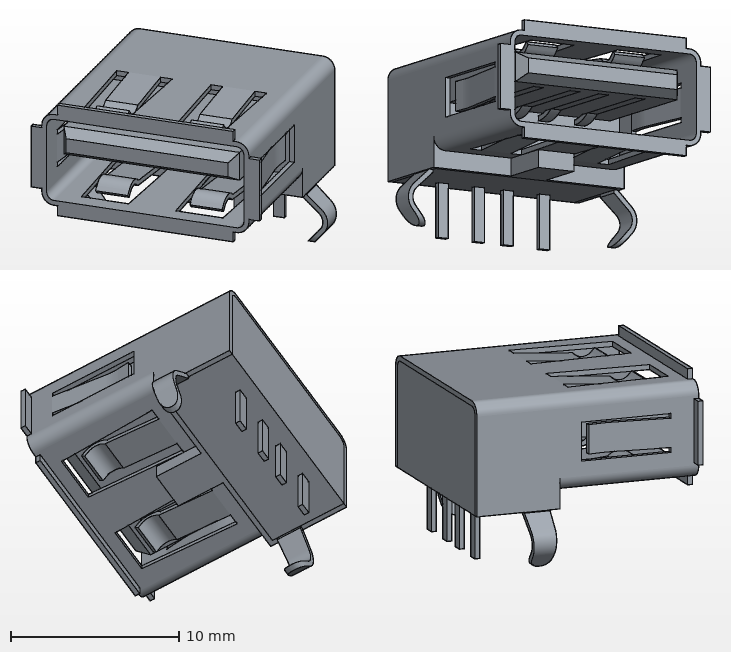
import cadquery as cq
import math


sheet = 0.32
shell_width = 13.18
shell_depth = 14.15
tube_height = 5.85
tube_centre_z = 4.0
tube_length = 8.85
corner_radius = 0.79
inner_radius = corner_radius - sheet
shell_top = tube_centre_z + tube_height / 2
tube_bottom = tube_centre_z - tube_height / 2
inner_top = shell_top - sheet
inner_width = shell_width - 2 * sheet
inner_height = tube_height - 2 * sheet
hood_front_inside = tube_length + sheet
key_width = 2.46
key_front = 5.72

mouth_tab_width = 11.19
mouth_tab_span = 7.11
side_tab_span = 14.54
side_tab_height = 3.92

finger_x = 3.0
finger_width = 2.05
finger_root = 7.63
finger_slope = 5.0
finger_slope_run = 3.75
finger_step_slope = 38.0
finger_step_length = 0.2
finger_curl_radius = 0.77
finger_tip_slope = 47.0
finger_tip_length = 0.33
finger_window_front = 1.14
finger_window_front_width = 3.0
finger_window_rear_width = 3.54

side_window_front = 1.79
side_window_rear = 7.47
side_window_height = 2.39
side_finger_height = 1.8
side_finger_slope = 6.4
side_finger_slope_run = 3.54
side_finger_bend_radius = 4.11
side_finger_tip_slope = 5.0
side_finger_tip_length = 0.75

tongue_width = mouth_tab_width
tongue_bottom = 4.0
tongue_height = 1.79
tongue_tip = 0.32
tongue_bevel = 0.45
tongue_bevel_depth = 0.76

outer_contact_x = 3.5
inner_contact_x = 1.0
contact_width = 0.7
pin_rear = 13.21
pin_length = 3.3
contact_front = 1.9
contact_drop = 0.49
contact_bend_radius = 2.4
contact_ramp_slope = 33.0
elbow_radius = 0.47

leg_y = 10.3
leg_top_width = 1.65
leg_tip_width = 1.26
leg_tip_radius = 0.6
leg_drop = pin_length
leg_neck = 0.05
leg_spread = 47.5
leg_spread_length = 1.3
leg_curl_radius = 1.09
leg_return = 41.2
leg_return_length = 1.58


def offset_left(point, heading, distance):
    """The point at a distance to the left of a point, facing along the heading in degrees."""
    angle = math.radians(heading)
    x, y = point
    return (x - distance * math.sin(angle), y + distance * math.cos(angle))


def bent_strip(start, heading, moves, width, plane):
    """Bend a strip of sheet metal, centred on the plane, and return it as a solid.

    The path follows one face of the strip, from `start` at `heading` degrees. The metal lies on
    its left. A move is (length,) for a straight, or (radius, turn) for a bend of the followed
    face; a positive turn goes left. A zero radius gives a sharp mitred bend between straights.
    Each face is kept as a list of steps: (end,) for a line or (middle, end) for an arc.
    """
    point = start
    near = [(point,)]
    far = [(offset_left(point, heading, sheet),)]
    for move in moves:
        if len(move) == 1:
            point = offset_left(point, heading - 90, move[0])
            near.append((point,))
            far.append((offset_left(point, heading, sheet),))
            continue
        radius, turn = move
        middle = heading + turn / 2
        if radius == 0:
            mitre = sheet / math.cos(math.radians(turn / 2))
            far[-1] = (offset_left(point, middle, mitre),)
            heading += turn
            continue
        reach = math.copysign(radius, turn)
        centre = offset_left(point, heading, reach)
        heading += turn
        near.append(tuple(offset_left(centre, angle, -reach) for angle in (middle, heading)))
        far.append(tuple(offset_left(centre, angle, sheet - reach) for angle in (middle, heading)))
        point = near[-1][-1]

    outline = cq.Workplane(plane).moveTo(*start)
    for step in near[1:]:
        outline = add_step(outline, step)
    outline = outline.lineTo(*far[-1][-1])
    for step, previous in zip(far[:0:-1], far[-2::-1]):
        outline = add_step(outline, (*step[:-1], previous[-1]))
    return outline.close().extrude(width / 2, both=True)


def add_step(outline, step):
    if len(step) == 1:
        return outline.lineTo(*step[0])
    return outline.threePointArc(*step)


def block(x_size, y_range, z_range):
    """A box centred on X = 0."""
    y0, y1 = y_range
    z0, z1 = z_range
    box = cq.Workplane("XY").box(x_size, y1 - y0, z1 - z0, centered=(True, False, False))
    return box.translate((0, y0, z0))


def tube_block(width, height, radius, y0, y1):
    """A bar along Y with the rounded section of the tube."""
    z0 = tube_centre_z - height / 2
    return block(width, (y0, y1), (z0, z0 + height)).edges("|Y").fillet(radius)


def hood_block(width, top, radius, y0, y1):
    """A bar along Y with the section of the hood, rounded only at the top."""
    return block(width, (y0, y1), (0, top)).edges("|Y and >Z").fillet(radius)


def mirror_x(body):
    return body.mirror("YZ")


def make_finger():
    """The spring finger of the top wall at +X, in place."""
    slope_length = finger_slope_run / math.cos(math.radians(finger_slope))
    moves = [
        (slope_length,),
        (0, finger_step_slope - finger_slope),
        (finger_step_length,),
        (finger_curl_radius, -finger_step_slope - finger_tip_slope),
        (finger_tip_length,),
    ]
    finger = bent_strip((finger_root, shell_top), 180 + finger_slope, moves, finger_width, "YZ")
    return finger.translate((finger_x, 0, 0))


def make_side_finger():
    """The spring finger of the side wall at +X, in place."""
    slope_length = side_finger_slope_run / math.cos(math.radians(side_finger_slope))
    moves = [
        (slope_length,),
        (side_finger_bend_radius, -side_finger_slope - side_finger_tip_slope),
        (side_finger_tip_length,),
    ]
    start = (shell_width / 2, side_window_front)
    finger = bent_strip(start, 90 + side_finger_slope, moves, side_finger_height, "XY")
    return finger.translate((0, 0, tube_centre_z))


def finger_window():
    """The tapered opening for the top and bottom fingers at +X, cut through the top and bottom walls."""
    front = finger_window_front_width / 2
    rear = finger_window_rear_width / 2
    corners = [
        (-front, finger_window_front),
        (front, finger_window_front),
        (rear, finger_root),
        (-rear, finger_root),
    ]
    opening = cq.Workplane("XY").polyline(corners).close().extrude(shell_top)
    return opening.translate((finger_x, 0, 0))


def make_shell():
    """The sheet-metal shell with its flanges, key, windows and spring fingers."""
    shell = tube_block(shell_width, tube_height, corner_radius, 0, tube_length)
    shell = shell.union(hood_block(shell_width, shell_top, corner_radius, tube_length, shell_depth))

    for width, span in ((mouth_tab_width, mouth_tab_span), (side_tab_span, side_tab_height)):
        z_range = (tube_centre_z - span / 2, tube_centre_z + span / 2)
        shell = shell.union(block(width, (0, sheet), z_range))
    shell = shell.union(block(key_width, (key_front, tube_length), (0, tube_bottom + sheet)))

    shell = shell.cut(tube_block(inner_width, inner_height, inner_radius, 0, hood_front_inside))
    shell = shell.cut(hood_block(inner_width, inner_top, inner_radius, hood_front_inside, shell_depth))

    window = finger_window()
    shell = shell.cut(window).cut(mirror_x(window))
    half = side_window_height / 2
    z_range = (tube_centre_z - half, tube_centre_z + half)
    shell = shell.cut(block(shell_width, (side_window_front, side_window_rear), z_range))

    top_finger = make_finger()
    bottom_finger = top_finger.mirror("XY", (0, 0, tube_centre_z))
    for finger in (top_finger, bottom_finger, make_side_finger()):
        shell = shell.union(finger).union(mirror_x(finger))
    return shell


def make_tongue():
    """The flat tongue, with its nose bevelled on all four sides."""
    shoulder = tongue_tip + tongue_bevel_depth
    body = block(tongue_width, (shoulder, tube_length), (tongue_bottom, tongue_bottom + tongue_height))
    nose_origin = (0, shoulder, tongue_bottom + tongue_height / 2)
    nose_plane = cq.Plane(nose_origin, xDir=(1, 0, 0), normal=(0, -1, 0))
    taper = math.degrees(math.atan(tongue_bevel / tongue_bevel_depth))
    nose = cq.Workplane(nose_plane).rect(tongue_width, tongue_height).extrude(tongue_bevel_depth, taper=taper)
    return body.union(nose)


def make_housing(contacts):
    """The plug filling the hood and the rear end of the tube, with the tongue and the contact slots."""
    plug = tube_block(inner_width, inner_height, inner_radius, tube_length, hood_front_inside)
    rear = hood_block(inner_width, inner_top, inner_radius, hood_front_inside, shell_depth)
    housing = plug.union(rear).union(make_tongue())
    for contact in contacts:
        housing = housing.cut(contact)
    return housing


def make_contact(x):
    """A strip bent up from its pin, forward through the housing, then up and along the tongue."""
    slope = math.radians(contact_ramp_slope)
    upper_radius = contact_bend_radius - sheet
    upper_rise = upper_radius * (1 - math.cos(slope))
    ramp_length = (contact_drop - upper_rise) / math.sin(slope)
    ramp_front = tube_length - upper_radius * math.sin(slope) - ramp_length * math.cos(slope)
    rear_top = tongue_bottom - contact_drop + sheet
    moves = [
        (rear_top - elbow_radius + pin_length,),
        (elbow_radius, 90),
        (pin_rear - elbow_radius - tube_length,),
        (upper_radius, -contact_ramp_slope),
        (ramp_length,),
        (0, contact_ramp_slope),
        (ramp_front - contact_front,),
    ]
    contact = bent_strip((pin_rear, -pin_length), 90, moves, contact_width, "YZ")
    return contact.translate((x, 0, 0))


def make_leg():
    """The board-lock leg under the wall at -X, tapered and rounded at the tip."""
    moves = [
        (leg_neck,),
        (0, -leg_spread),
        (leg_spread_length,),
        (leg_curl_radius, leg_spread + leg_return),
        (leg_return_length,),
    ]
    leg = bent_strip((-shell_width / 2, 0), -90, moves, leg_top_width, "XZ")
    top = leg_top_width / 2
    tip = leg_tip_width / 2
    corners = [(-top, 0), (top, 0), (tip, -leg_drop), (-tip, -leg_drop)]
    outline = cq.Workplane("YZ").polyline(corners).close().extrude(shell_width, both=True)
    outline = outline.edges("|X and <Z").fillet(leg_tip_radius)
    return leg.intersect(outline).translate((0, leg_y, 0))


shell = make_shell()
contact_xs = [-outer_contact_x, -inner_contact_x, inner_contact_x, outer_contact_x]
contacts = [make_contact(x) for x in contact_xs]
housing = make_housing(contacts)
leg = make_leg()
legs = [leg, mirror_x(leg)]

bodies = [shell, housing, *contacts, *legs]
result = cq.Compound.makeCompound([body.val() for body in bodies])